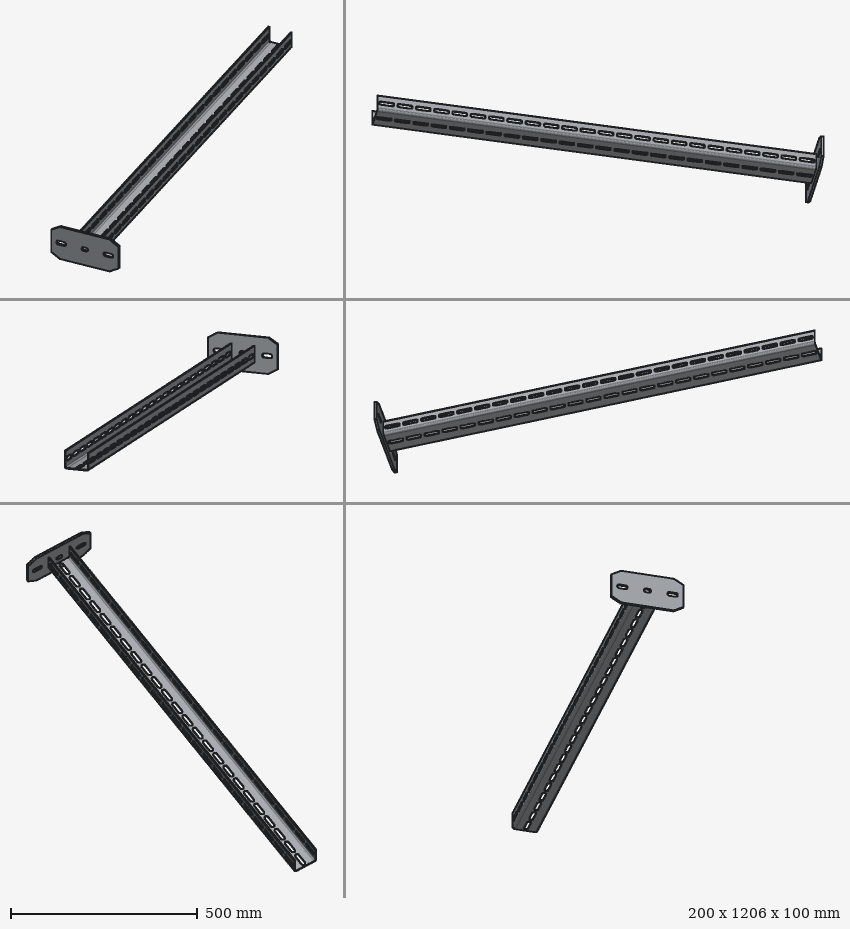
import cadquery as cq

total_length = 1206.0
plate_width = 200.0
plate_height = 100.0
plate_thickness = 6.5
plate_corner_x = 27.0
plate_corner_z = 16.0

channel_width = 70.0
channel_height = 50.0
sheet_thickness = 3.3
outer_bend_radius = 7.0
inner_bend_radius = outer_bend_radius - sheet_thickness
channel_length = total_length - plate_thickness

slot_count = 24
slot_pitch = channel_length / slot_count
slot_length = 41.0
slot_width = 11.0

mount_slot_length = 29.0
mount_slot_width = 12.0
mount_slot_offset = 70.0
center_slot_length = 19.0


def make_plate():
    """End plate with cut corners, its outer face on Y = 0."""
    half_width = plate_width / 2
    half_height = plate_height / 2
    inner_x = half_width - plate_corner_x
    inner_z = half_height - plate_corner_z
    outline = [
        (-inner_x, -half_height),
        (inner_x, -half_height),
        (half_width, -inner_z),
        (half_width, inner_z),
        (inner_x, half_height),
        (-inner_x, half_height),
        (-half_width, inner_z),
        (-half_width, -inner_z),
    ]
    return cq.Workplane("XZ").polyline(outline).close().extrude(-plate_thickness)


def make_channel():
    """Bent-sheet U section running along Y from the back of the plate."""
    outer = (
        cq.Workplane("XY")
        .box(channel_width, channel_length, channel_height)
        .edges("|Y and <Z")
        .fillet(outer_bend_radius)
    )
    inner = (
        cq.Workplane("XY")
        .box(channel_width - 2 * sheet_thickness, channel_length, channel_height)
        .edges("|Y and <Z")
        .fillet(inner_bend_radius)
        .translate((0, 0, sheet_thickness))
    )
    return outer.cut(inner).translate((0, plate_thickness + channel_length / 2, 0))


def channel_slot_cutters():
    """Slots through both flanges (along X) and through the floor (along Z)."""
    middle_y = plate_thickness + channel_length / 2
    flange_slots = (
        cq.Workplane("YZ")
        .center(middle_y, 0)
        .rarray(slot_pitch, 12, slot_count, 1)
        .slot2D(slot_length, slot_width)
        .extrude(channel_width / 2, both=True)
    )
    floor_slots = (
        cq.Workplane("XY", origin=(0, middle_y, -channel_height / 2))
        .rarray(12, slot_pitch, 1, slot_count)
        .slot2D(slot_length, slot_width, 90)
        .extrude(sheet_thickness)
    )
    return flange_slots, floor_slots


def plate_slot_cutters():
    """Two outer mounting slots and a shorter central one."""
    outer_slots = (
        cq.Workplane("XZ")
        .pushPoints([(-mount_slot_offset, 0), (mount_slot_offset, 0)])
        .slot2D(mount_slot_length, mount_slot_width)
        .extrude(-plate_thickness)
    )
    center_slot = (
        cq.Workplane("XZ")
        .slot2D(center_slot_length, mount_slot_width)
        .extrude(-plate_thickness)
    )
    return outer_slots, center_slot


plate = make_plate()
for cutter in plate_slot_cutters():
    plate = plate.cut(cutter)

channel = make_channel()
for cutter in channel_slot_cutters():
    channel = channel.cut(cutter)

result = plate.union(channel)